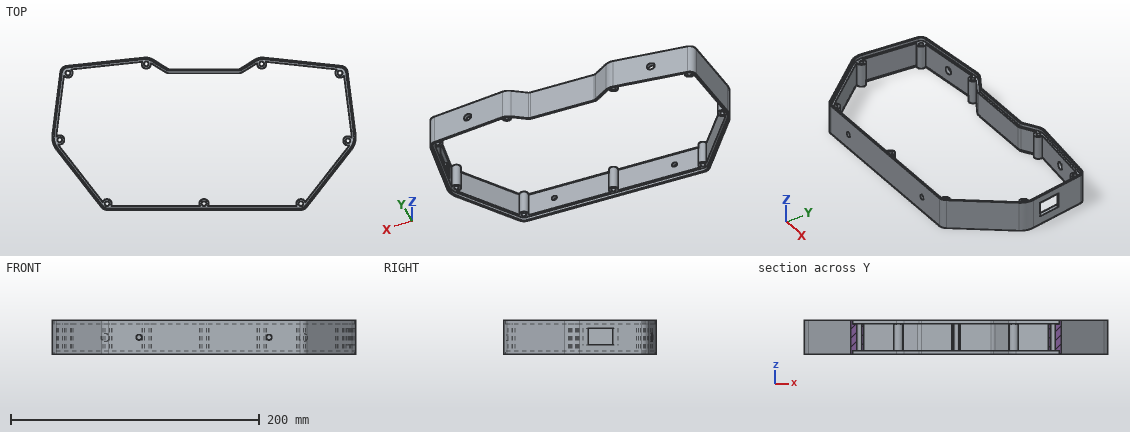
import cadquery as cq

HEIGHT = 27.5
DEPTH = 122.8
WALL = 3.5
RIM_WALL = 1.5
RECESS_DEPTH = 3.0

FRONT_CORNER = (80.5, -DEPTH / 2, 7.0)
SIDE_CORNER = (122.8, -7.3, 16.0)
BACK_CORNER = (115.0, 54.2, 6.0)
PEAK_CORNER = (44.5, 61.8, 11.0)
NOTCH_CORNER = (28.5, 52.0, 2.7)
RIGHT_CORNERS = [FRONT_CORNER, SIDE_CORNER, BACK_CORNER, PEAK_CORNER, NOTCH_CORNER]

BOSS_DIAMETER = 7.5
BOSS_HOLE_DIAMETER = 3.7
BOSS_HEIGHT = HEIGHT - 2 * RECESS_DEPTH
FRONT_BOSS_Y = -56.2
BOSS_PAIRS = [(78.0, FRONT_BOSS_Y), (109.5, 48.8), (46.5, 56.2)]
SINGLE_BOSSES = [(0, FRONT_BOSS_Y), (-116.0, -5.0), (115.8, -5.5)]

FRONT_HOLE_DIAMETER = 4.5
FRONT_HOLE_X = 52.3
BACK_HOLE_DIAMETER = 6.5
MID_WALL = 0.5

WINDOW_LENGTH = 20.0
WINDOW_HEIGHT = 13.2
WINDOW_MARGIN = 4.2
WINDOW_Y = 16.5
WINDOW_Z = 0.7
POCKET_DEPTH = 1.5

CUT_REACH = 4 * WALL


def outer_prism():
    """Solid block with the outer outline and rounded corners, centred on Z = 0."""
    right = [(x, y) for x, y, _ in RIGHT_CORNERS]
    left = [(-x, y) for x, y in reversed(right)]
    block = cq.Workplane("XY").polyline(right + left).close().extrude(HEIGHT / 2, both=True)
    for x, y, radius in RIGHT_CORNERS:
        for side in (-1, 1):
            corner = cq.selectors.NearestToPointSelector((side * x, y, 0))
            block = block.edges("|Z").edges(corner).fillet(radius)
    return block


def inset_prism(inset, bottom, height):
    """Block that follows the outer outline at a distance inside it."""
    outline = outer_prism().faces(">Z").wires().val()
    outline = outline.translate(cq.Vector(0, 0, bottom - HEIGHT / 2))
    return cq.Workplane(outline.offset2D(-inset)[0]).toPending().extrude(height)


def bosses(diameter):
    """Cylinders at all boss places, standing between the two lid recesses."""
    places = [(side * x, y) for x, y in BOSS_PAIRS for side in (-1, 1)] + SINGLE_BOSSES
    return cq.Workplane("XY").pushPoints(places).circle(diameter / 2).extrude(BOSS_HEIGHT / 2, both=True)


def wall_plane(start, end, share):
    """Plane on the outer wall between two corners, X along the wall and normal outward."""
    run_x = end[0] - start[0]
    run_y = end[1] - start[1]
    origin = (start[0] + share * run_x, start[1] + share * run_y, 0)
    return cq.Workplane(cq.Plane(origin=origin, xDir=(run_x, run_y, 0), normal=(run_y, -run_x, 0)))


body = outer_prism().cut(inset_prism(WALL, -HEIGHT / 2, HEIGHT))

boss_room = inset_prism(RIM_WALL, -BOSS_HEIGHT / 2, BOSS_HEIGHT)
body = body.union(bosses(BOSS_DIAMETER).intersect(boss_room))
for recess_bottom in (-HEIGHT / 2, BOSS_HEIGHT / 2):
    body = body.cut(inset_prism(RIM_WALL, recess_bottom, RECESS_DEPTH))
body = body.cut(bosses(BOSS_HOLE_DIAMETER))

front_wall = cq.Workplane("XZ", origin=(0, FRONT_CORNER[1], 0))
front_holes = front_wall.pushPoints([(-FRONT_HOLE_X, 0), (FRONT_HOLE_X, 0)])
front_holes = front_holes.circle(FRONT_HOLE_DIAMETER / 2).extrude(CUT_REACH / 2, both=True)
body = body.cut(front_holes)

back_wall = wall_plane(BACK_CORNER, PEAK_CORNER, MID_WALL)
back_hole = back_wall.circle(BACK_HOLE_DIAMETER / 2).extrude(CUT_REACH / 2, both=True)
body = body.cut(back_hole).cut(back_hole.mirror("YZ"))

window_share = (WINDOW_Y - SIDE_CORNER[1]) / (BACK_CORNER[1] - SIDE_CORNER[1])
side_wall = wall_plane(SIDE_CORNER, BACK_CORNER, window_share).center(0, WINDOW_Z)
window = side_wall.rect(WINDOW_LENGTH, WINDOW_HEIGHT).extrude(CUT_REACH / 2, both=True)
pocket_floor = side_wall.workplane(offset=POCKET_DEPTH - WALL)
pocket = pocket_floor.rect(WINDOW_LENGTH + 2 * WINDOW_MARGIN, WINDOW_HEIGHT).extrude(-CUT_REACH / 2)
body = body.cut(window).cut(pocket)

result = body